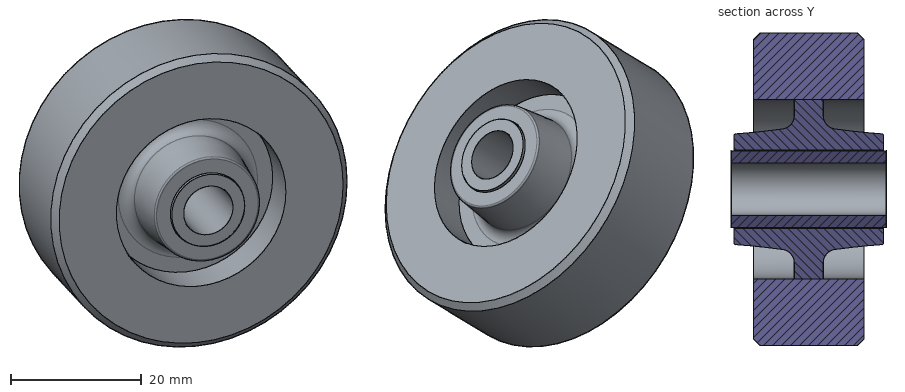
import cadquery as cq
import math

tyre_radius = 24.0
tyre_width = 17.0
tyre_chamfer = 1.0
tyre_inner_radius = 13.75

web_thickness = 4.5
hub_length = 22.95
hub_end_radius = 8.5
hub_draft = 6.0
hub_end_fillet = 0.3
web_fillet = 2.0
hub_bore_radius = 6.0

sleeve_clearance = 0.1
sleeve_radius = hub_bore_radius - sleeve_clearance
sleeve_length = 23.8
sleeve_bore_radius = 4.0

hub_end = hub_length / 2
web_face = web_thickness / 2

boss_height = hub_end - web_face
boss_root_radius = hub_end_radius + boss_height * math.tan(math.radians(hub_draft))


def ring(length, outer_radius, inner_radius):
    """Tube along the X axis, centred on the origin."""
    return (
        cq.Workplane("YZ")
        .workplane(offset=-length / 2)
        .circle(outer_radius)
        .circle(inner_radius)
        .extrude(length)
    )


def make_tyre():
    tread_edges = cq.selectors.RadiusNthSelector(-1)
    blank = ring(tyre_width, tyre_radius, tyre_inner_radius)
    return blank.edges("%CIRCLE").edges(tread_edges).chamfer(tyre_chamfer)


def make_hub():
    section = [
        (-hub_end, hub_bore_radius),
        (-hub_end, hub_end_radius),
        (-web_face, boss_root_radius),
        (-web_face, tyre_inner_radius),
        (web_face, tyre_inner_radius),
        (web_face, boss_root_radius),
        (hub_end, hub_end_radius),
        (hub_end, hub_bore_radius),
    ]
    hub = cq.Workplane("XY").polyline(section).close().revolve(360, (0, 0, 0), (1, 0, 0))

    boss_ends = cq.selectors.RadiusNthSelector(1)
    hub = hub.edges("%CIRCLE").edges(boss_ends).fillet(hub_end_fillet)

    boss_roots = cq.selectors.RadiusNthSelector(-2)
    return hub.edges("%CIRCLE").edges(boss_roots).fillet(web_fillet)


def make_sleeve():
    return ring(sleeve_length, sleeve_radius, sleeve_bore_radius)


tyre = make_tyre()
hub = make_hub()
sleeve = make_sleeve()

result = cq.Compound.makeCompound([tyre.val(), hub.val(), sleeve.val()])